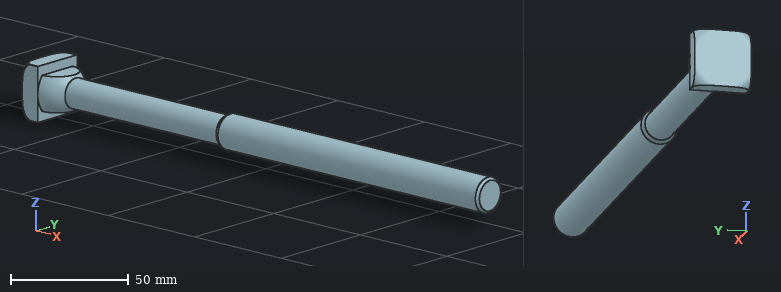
import cadquery as cq
import math


head_width = 25.0
head_height = 9.0
corner_radius = 17.6
corner_blend_radius = 5.0

neck_width = 16.0
neck_radius = head_width / 2

thread_diameter = 16.0
root_diameter = 13.546
thread_length = 150.0
stem_length = 250.0
runout_angle = 30.0

thread_radius = thread_diameter / 2
root_radius = root_diameter / 2
overall_length = head_height + stem_length
thread_start = overall_length - thread_length


def revolve_about_x(profile):
    """Turn a closed XY profile a full revolution around the X axis."""
    return profile.close().revolve(360, (0, 0, 0), (1, 0, 0))


def make_head():
    """Square head whose corners are turned round and blended into the end face by an arc."""
    block = cq.Workplane("YZ").rect(head_width, head_width).extrude(head_height)
    turned_blank = (
        cq.Workplane("YZ")
        .circle(corner_radius)
        .extrude(head_height)
        .faces("<X")
        .edges()
        .fillet(corner_blend_radius)
    )
    return block.intersect(turned_blank)


def make_neck():
    """Half ball under the head, cut to two flats facing +Z and -Z."""
    ball = cq.Workplane("XY").sphere(neck_radius).translate((head_height, 0, 0))
    slab = (
        cq.Workplane("XY")
        .box(neck_radius, 2 * neck_radius, neck_width, centered=(False, True, True))
        .translate((head_height, 0, 0))
    )
    return ball.intersect(slab)


def make_stem():
    """Shank at root diameter, conical run-out, thread-diameter rod and 45 degree tip chamfer."""
    thread_depth = thread_radius - root_radius
    runout_length = thread_depth / math.tan(math.radians(runout_angle))
    return revolve_about_x(
        cq.Workplane("XY")
        .moveTo(head_height, 0)
        .lineTo(head_height, root_radius)
        .lineTo(thread_start - runout_length, root_radius)
        .lineTo(thread_start, thread_radius)
        .lineTo(overall_length - thread_depth, thread_radius)
        .lineTo(overall_length, root_radius)
        .lineTo(overall_length, 0)
    )


result = make_head().union(make_neck()).union(make_stem())